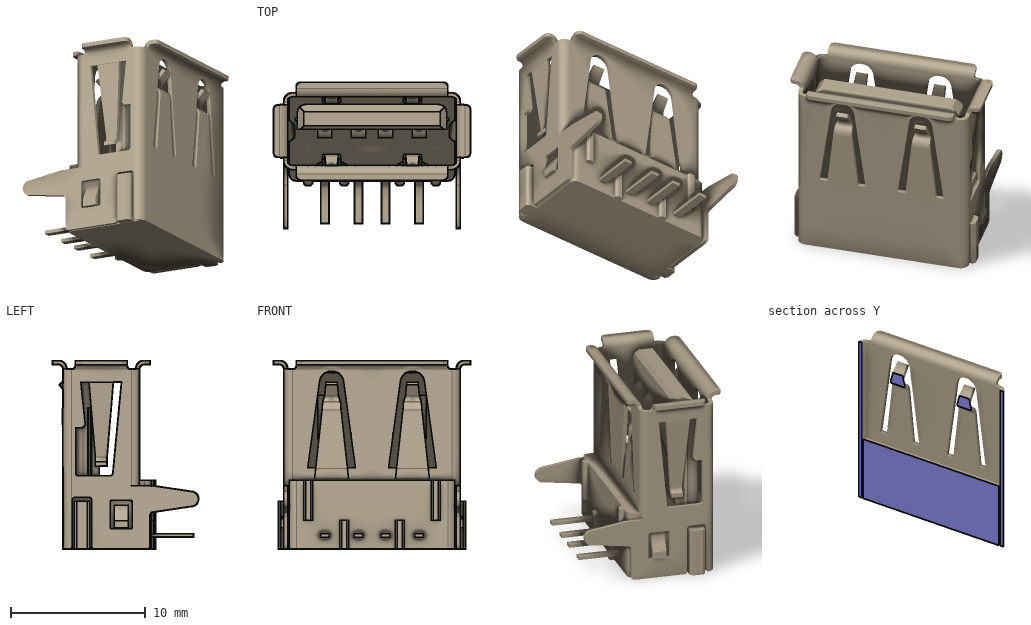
import cadquery as cq
import math


overlap = 0.15
tolerance = 0.001

sheet = 0.3
shell_x = 13.1
shell_y = 5.7
shell_top = 13.37
shell_corner = 0.65
front_wall_bottom = 4.7
side_x = shell_x / 2
wall_y = shell_y / 2

lip_top = 14.0
lip_bend = lip_top - shell_top - sheet
lip_reach_x = 7.32
lip_reach_y = 3.63
long_lip = 11.27
short_lip = 3.89
lip_corner = 0.35
lip_root = 0.2

spring_x = 3.0
window_bottom = 6.04
window_half = 1.77
window_arc = 0.9
window_arc_z = 12.3
spring_root = 5.24
spring_root_half = 1.26
spring_half_outline = [(spring_root_half, spring_root), (0.7, 10.39), (0.66, 10.95), (0.51, 11.41), (0.41, 12.44)]
spring_lean_z = 5.63
spring_kink_z = 10.67
spring_crest_z = 11.09
spring_tip_z = 12.3
spring_crest = 0.76
spring_curl = 1.04
spring_bends = (11.7, 0.59, 0.41)
front_lean = 0.3
back_lean = -0.03

side_window_top = 12.4
side_window_bottom = 5.45
side_window_corner = 0.18
side_window_step = 9.01
side_window_back = 1.89
side_window_outline = [
    (-1.49, side_window_top), (1.52, side_window_top),
    (1.19, 9.22), (1.39, side_window_step), (side_window_back, side_window_step),
    (side_window_back, side_window_bottom), (-0.83, side_window_bottom),
]
leaf_top_half = 0.9
leaf_end_half = 0.44
leaf_taper_end = 6.85
leaf_bend_z = 6.32
leaf_lean = 0.57
leaf_hook = 0.55
leaf_bend = 0.5

leg_tip = -7.23
leg_edge_y = -3.61
leg_edge_corner = 0.26
leg_slope_y = -4.0
leg_root_z = 2.7
leg_nose = 0.57
leg_z = 3.73

body_x = 12.29
body_front = -3.7
body_top = 5.12
body_corner = 0.53
rib_out = 0.34
rib_width = 0.66
rib_chamfer = 0.15
rib_split = 2.14
upper_rib_x = 4.74
lower_rib_x = 2.06

tab_x = 6.96
tab_y = (0.85, 2.0)
tab_top = 3.57
tab_chamfer = 0.19
slot_gap = 0.15
slot_headroom = 0.28
slot_corner = 0.22
barb_x = 6.77
barb_y = (-2.0, -0.95)
barb_z = (1.58, 2.12, 3.28)
barb_window_y = (-2.3, -0.66)
barb_window_z = (1.52, 3.63)
barb_window_corner = 0.13

tongue_x = 11.06
tongue_y = (0.13, 1.98)
tongue_top = 13.46
tongue_corner = 0.59
tongue_side_chamfer = (0.48, 0.66)
tongue_front_chamfer = (0.25, 0.37)
tongue_back_chamfer = (0.54, 0.66)
key_top = 10.49
key_y = (0.7, 1.01)
key_out = 0.18
key_bevel = 0.09

contact_x = (-3.5, -1.0, 1.0, 3.5)
contact_width = 1.05
contact_crest = (-0.48, 10.31)
contact_lower = (-0.42, 9.92)
contact_z = (8.18, 11.41)
pin_width = 0.61
pin_z = (0.9, 1.15)
pin_tip = -6.86


def box(xs, ys, zs):
    """Box between pairs of X, Y and Z limits."""
    size = (xs[1] - xs[0], ys[1] - ys[0], zs[1] - zs[0])
    return cq.Workplane("XY").box(*size, centered=False).translate((xs[0], ys[0], zs[0]))


def plate_yz(outline, x_inner, x_outer):
    """Extrude a closed YZ outline between two X positions."""
    return outline.extrude(x_outer - x_inner).translate((x_inner, 0, 0))


def yz(points):
    return cq.Workplane("YZ").polyline(points).close()


def xz(points):
    return cq.Workplane("XZ").polyline(points).close()


def symmetric_xz(half):
    """Closed XZ outline from its +X half and that half's mirror image."""
    return xz(half + [(-x, z) for x, z in reversed(half)])


def both_sides(solid):
    """The solid together with its mirror image on the other X side."""
    return solid.union(solid.mirror("YZ"))


def bent_strip(points, width, bend_radii):
    """Sheet strip, centred on X, following a centre line given in YZ with a radius at each bend."""
    path = cq.Wire.makePolygon([cq.Vector(0, y, z) for y, z in points])
    for (y, z), radius in zip(points[1:-1], bend_radii):
        bend = [v for v in path.Vertices() if math.hypot(v.Y - y, v.Z - z) < tolerance]
        path = path.fillet2D(radius, bend)
    (y0, z0), (y1, z1) = points[:2]
    start = cq.Plane(origin=(0, y0, z0), xDir=(1, 0, 0), normal=(0, y1 - y0, z1 - z0))
    return cq.Workplane(start).rect(width, sheet).sweep(cq.Workplane(path))


def lip_profile(wall, reach):
    """YZ section of a lip: a quarter bend out of the wall, then a flat rim."""
    bend_y = -wall - lip_bend
    outer = lip_bend + sheet
    d = math.sqrt(0.5)
    return (
        cq.Workplane("YZ")
        .moveTo(-wall + sheet, shell_top)
        .threePointArc((bend_y + outer * d, shell_top + outer * d), (bend_y, lip_top))
        .lineTo(-reach, lip_top)
        .lineTo(-reach, lip_top - sheet)
        .lineTo(bend_y, lip_top - sheet)
        .threePointArc((bend_y + lip_bend * d, shell_top + lip_bend * d), (-wall, shell_top))
        .close()
    )


def lip(wall, reach, length):
    """Outward-flared lip on the -Y side, its root widened by a small fillet at each end."""
    flared = lip_profile(wall, reach).extrude(length / 2, both=True)
    flared = flared.edges("|Z and <Y").fillet(lip_corner)

    root_x = length / 2 + lip_root
    root_z = shell_top + lip_root
    root = lip_profile(wall, reach).extrude(root_x, both=True)
    root = root.intersect(box((-root_x, root_x), (-reach, 0), (shell_top, root_z)))
    for x in (-root_x, root_x):
        root = root.cut(cq.Workplane("XZ").center(x, root_z).circle(lip_root).extrude(reach))
    return flared.union(root)


def spring_window():
    """Front-wall window: tapered sides running tangentially into a round top."""
    rise = window_arc_z - window_bottom
    spread = math.hypot(window_half, rise)
    turn = math.atan2(window_half, rise) - math.asin(window_arc / spread)
    tangent = (window_arc * math.cos(turn), window_arc_z + window_arc * math.sin(turn))
    return (
        cq.Workplane("XZ")
        .moveTo(-window_half, window_bottom)
        .lineTo(window_half, window_bottom)
        .lineTo(*tangent)
        .threePointArc((0, window_arc_z + window_arc), (-tangent[0], tangent[1]))
        .close()
        .extrude(shell_y)
    )


def spring_outline():
    """Tapering front face of a spring, extruded through the front wall."""
    return symmetric_xz(spring_half_outline).extrude(shell_y)


def spring(lean):
    """Front-wall spring: leans inward, kinks in to a crest and curls out at its tip."""
    root_y = -wall_y + sheet / 2
    kink_y = root_y + lean
    crest_y = kink_y + spring_crest
    tip_y = crest_y - spring_curl
    path = [(root_y, spring_root), (root_y, spring_lean_z), (kink_y, spring_kink_z),
            (crest_y, spring_crest_z), (tip_y, spring_tip_z)]
    return bent_strip(path, 2 * spring_root_half, spring_bends).intersect(spring_outline())


def side_window():
    """Opening in the +X wall, wider beside the back of the tongue."""
    opening = plate_yz(yz(side_window_outline), side_x - 2 * sheet, side_x + sheet)
    return opening.edges("|X and <Z").fillet(side_window_corner)


def side_leaf():
    """Tapered leaf hanging in the +X window, its end turned out as a small hook."""
    root = side_x - sheet / 2
    bend = root - leaf_lean
    path = [(root, side_window_top), (bend, leaf_bend_z), (bend + leaf_hook, leaf_bend_z)]
    strip = bent_strip(path, 2 * leaf_top_half, [leaf_bend])
    half = [(leaf_top_half, side_window_top), (leaf_end_half, leaf_taper_end),
            (leaf_end_half, side_window_bottom)]
    face = symmetric_xz(half).extrude(-2 * side_x)
    return strip.intersect(face).rotate((0, 0, 0), (0, 0, 1), -90)


def tab_slot():
    """Open-bottomed slot in the +X wall around the body's side tab."""
    back, front = tab_y[1] + slot_gap, tab_y[0] - slot_gap
    top = tab_top + slot_headroom
    wall = (side_x - sheet, side_x + sheet)
    slot = box(wall, (front, back), (0, top)).edges("|X and >Z").fillet(slot_corner)
    mouth = box(wall, (front - slot_corner, back + slot_corner), (0, slot_corner))
    for y in (front - slot_corner, back + slot_corner):
        round_edge = cq.Workplane("YZ").center(y, slot_corner).circle(slot_corner)
        mouth = mouth.cut(plate_yz(round_edge, *wall))
    return slot.union(mouth)


def leg_plate():
    """Lower front part of the +X wall with its forward-pointing solder leg."""
    back_y = -wall_y + shell_corner
    nose_y = leg_tip + leg_nose
    outline = (
        cq.Workplane("YZ")
        .moveTo(back_y, 0)
        .lineTo(back_y, front_wall_bottom)
        .lineTo(leg_slope_y, front_wall_bottom)
        .lineTo(nose_y, leg_z + leg_nose)
        .threePointArc((leg_tip, leg_z), (nose_y, leg_z - leg_nose))
        .lineTo(leg_edge_y, leg_root_z)
        .lineTo(leg_edge_y, 0)
        .close()
    )
    plate = plate_yz(outline, side_x - sheet, side_x)
    front_edge = cq.selectors.BoxSelector(
        (0, leg_edge_y - tolerance, -tolerance),
        (side_x + tolerance, leg_edge_y + tolerance, leg_root_z + tolerance))
    return plate.edges(front_edge).edges("|X").fillet(leg_edge_corner)


def make_shell():
    """Sheet-metal shell with lips, windows, springs and legs."""
    shell = cq.Workplane("XY").rect(shell_x, shell_y).extrude(shell_top).edges("|Z").fillet(shell_corner)
    cavity = cq.Workplane("XY").rect(shell_x - 2 * sheet, shell_y - 2 * sheet).extrude(shell_top)
    shell = shell.cut(cavity.edges("|Z").fillet(shell_corner - sheet))
    shell = shell.cut(box((-side_x, side_x), (-wall_y, -wall_y + shell_corner), (0, front_wall_bottom)))

    long_side = lip(wall_y, lip_reach_y, long_lip)
    short_side = lip(side_x, lip_reach_x, short_lip).rotate((0, 0, 0), (0, 0, 1), 90)
    shell = shell.union(long_side).union(long_side.mirror("XZ")).union(both_sides(short_side))

    shell = shell.cut(both_sides(side_window()))
    shell = shell.union(both_sides(leg_plate()))
    shell = shell.cut(both_sides(tab_slot()))
    barb_window = box((side_x - sheet, side_x + sheet), barb_window_y, barb_window_z)
    shell = shell.cut(both_sides(barb_window.edges("|X").fillet(barb_window_corner)))
    shell = shell.union(both_sides(side_leaf()))

    opening = spring_window().union(spring_outline())
    front_spring = spring(front_lean)
    back_spring = spring(back_lean).mirror("XZ")
    for x in (-spring_x, spring_x):
        shell = shell.cut(opening.translate((x, 0, 0)))
        shell = shell.cut(opening.mirror("XZ").translate((x, 0, 0)))
        shell = shell.union(front_spring.translate((x, 0, 0)))
        shell = shell.union(back_spring.translate((x, 0, 0)))
    return shell


def rib(x, z_low, z_high):
    """Chamfered rib on the front of the body."""
    bar = box((x - rib_width / 2, x + rib_width / 2), (body_front - rib_out, body_front), (z_low, z_high))
    return bar.edges("|Z and <Y").chamfer(rib_chamfer)


def side_tab():
    """Tab on the +X side of the body, standing out through the shell."""
    tab = box((body_x / 2 - overlap, tab_x), tab_y, (0, tab_top))
    return tab.edges("|Z and >X").chamfer(tab_chamfer)


def barb():
    """Latch wedge, sloping out from the body to a flat at its lower end."""
    low, flat, high = barb_z
    inner = body_x / 2
    outline = [(inner - overlap, low), (barb_x, low), (barb_x, flat), (inner, high), (inner - overlap, high)]
    return xz(outline).extrude(barb_y[1] - barb_y[0]).translate((0, barb_y[1], 0))


def make_body():
    """Plastic block in the bottom of the shell, with ribs, tabs and barbs."""
    body = box((-body_x / 2, body_x / 2), (body_front, wall_y - sheet), (0, body_top))
    body = body.edges("|Z and <Y").fillet(body_corner)
    body = body.union(both_sides(rib(upper_rib_x, rib_split, body_top)))
    body = body.union(both_sides(rib(lower_rib_x, 0, rib_split)))
    return body.union(both_sides(side_tab())).union(both_sides(barb()))


def make_tongue():
    """Chamfered tongue standing in the mouth, with a thin key along each side."""
    half = tongue_x / 2
    front, back = tongue_y
    tongue = box((-half, half), tongue_y, (0, tongue_top)).edges("|Z and >Y").fillet(tongue_corner)

    side_in, side_drop = tongue_side_chamfer
    half_profile = [(half, 0), (half, tongue_top - side_drop), (half - side_in, tongue_top)]
    face = symmetric_xz(half_profile).extrude(-2 * back)

    front_in, front_drop = tongue_front_chamfer
    back_in, back_drop = tongue_back_chamfer
    section = yz([(front, 0), (front, tongue_top - front_drop), (front + front_in, tongue_top),
                  (back - back_in, tongue_top), (back, tongue_top - back_drop), (back, 0)])
    tongue = tongue.intersect(face).intersect(section.extrude(half, both=True))

    key = (
        cq.Workplane("XY")
        .polyline([(half - overlap, key_y[0]), (half, key_y[0]), (half + key_out, key_y[0] + key_bevel),
                   (half + key_out, key_y[1] - key_bevel), (half, key_y[1]), (half - overlap, key_y[1])])
        .close()
        .extrude(key_top)
    )
    return tongue.union(both_sides(key))


def contact(x):
    """Contact bump standing out of the tongue's front face."""
    low, high = contact_z
    front = tongue_y[0]
    inside = front + overlap
    outline = (
        cq.Workplane("YZ")
        .moveTo(inside, low)
        .lineTo(front, low)
        .lineTo(*contact_lower)
        .threePointArc(contact_crest, (front, high))
        .lineTo(inside, high)
        .close()
    )
    return outline.extrude(contact_width / 2, both=True).translate((x, 0, 0))


def pin(x):
    """Flat solder pin pointing forward out of the body."""
    return box((x - pin_width / 2, x + pin_width / 2), (pin_tip, body_front), pin_z)


result = make_shell().union(make_body()).union(make_tongue())
for position in contact_x:
    result = result.union(contact(position)).union(pin(position))